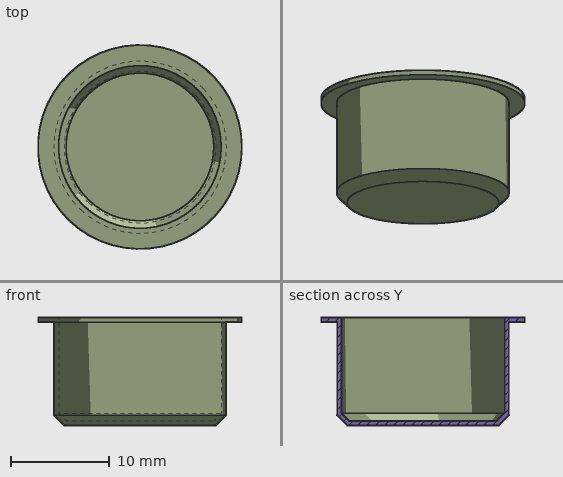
import cadquery as cq

flange_diameter = 20.7
height = 11.0
body_diameter = 17.5
wall = 0.5
outer_chamfer = 1.05
inner_chamfer = 0.77

flange_thickness = wall
floor_thickness = wall
bore_diameter = body_diameter - 2 * wall

body = cq.Workplane("XY").circle(body_diameter / 2).extrude(height)
body = body.faces("<Z").chamfer(outer_chamfer)

flange = (
    cq.Workplane("XY")
    .workplane(offset=height - flange_thickness)
    .circle(flange_diameter / 2)
    .extrude(flange_thickness)
)

cavity = (
    cq.Workplane("XY")
    .workplane(offset=floor_thickness)
    .circle(bore_diameter / 2)
    .extrude(height - floor_thickness)
    .faces("<Z")
    .chamfer(inner_chamfer)
)

result = body.union(flange).cut(cavity)